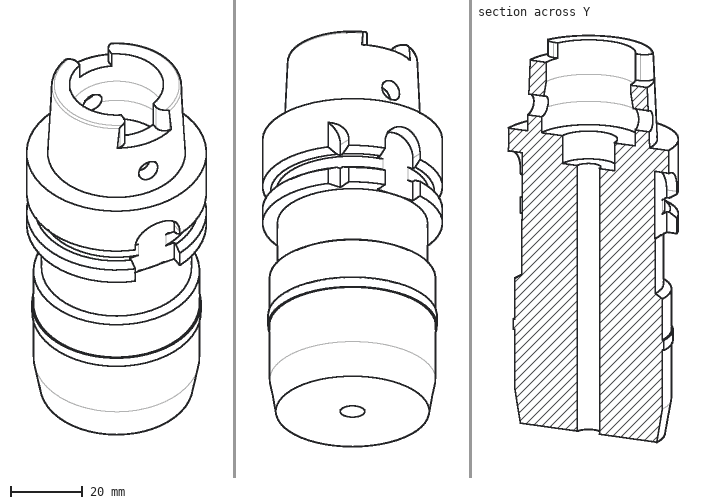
import cadquery as cq
import math

total_height = 110
nose_cone_top = 10.0
ring_bottom = 27.0
ring_top = 29.9
body_edge = 41.8
body_top = 43.1
collar_bottom = 59.0
flange_top = 85.0
groove_bottom = 64.9
groove_top = 69.0
groove_chamfer_height = 1.4

nose_radius = 21.3
body_radius = 23.1
ring_radius = 23.5
neck_radius = 20.9
flange_diameter = 50.0
flange_radius = flange_diameter / 2
groove_radius = 21.2
groove_lip_radius = 22.8
taper_base_radius = 19.1
taper_top_radius = 18.0
rim_fillet = 0.7

mouth_radius = 13.1
mouth_depth = 9.9
recess_radius = 14.5
recess_cone_bottom = 91.8
bore_floor = flange_top
pocket_radius = 8.0
pocket_floor = 77
through_radius = 3.4

drive_half_width = 5.1
drive_corner_radius = 2.8
drive_horn_x = 16.3
drive_depth_left = 4.4
drive_depth_right = 7.6

keyway_floor_x = 20.8
keyway_left_radius = 5.9
keyway_right_radius = 7.0
keyway_top = 78.3
notch_floor_x = 15.8
notch_side_y = 15.2

cross_hole_radius = 3.0
cross_hole_height = 92.6
cut_reach = 33


def make_body():
    profile = (
        cq.Workplane("XZ")
        .lineTo(nose_radius, 0)
        .lineTo(body_radius, nose_cone_top)
        .lineTo(body_radius, ring_bottom)
        .lineTo(ring_radius, ring_bottom)
        .lineTo(ring_radius, ring_top)
        .lineTo(body_radius, ring_top)
        .lineTo(body_radius, body_edge)
        .lineTo(neck_radius, body_top)
        .lineTo(neck_radius, collar_bottom)
        .lineTo(flange_radius, collar_bottom)
        .lineTo(flange_radius, groove_bottom - groove_chamfer_height)
        .lineTo(groove_lip_radius, groove_bottom)
        .lineTo(groove_radius, groove_bottom)
        .lineTo(groove_radius, groove_top)
        .lineTo(groove_lip_radius, groove_top)
        .lineTo(flange_radius, groove_top + groove_chamfer_height)
        .lineTo(flange_radius, flange_top)
        .lineTo(taper_base_radius, flange_top)
        .lineTo(taper_top_radius, total_height)
        .lineTo(0, total_height)
        .close()
    )
    return profile.revolve(360, (0, 0), (0, 1)).faces(">Z").edges().fillet(rim_fillet)


def make_bore():
    mouth_bottom = total_height - mouth_depth
    return (
        cq.Workplane("XZ")
        .lineTo(through_radius, 0)
        .lineTo(through_radius, pocket_floor)
        .lineTo(pocket_radius, pocket_floor)
        .lineTo(pocket_radius, bore_floor)
        .lineTo(recess_radius, bore_floor)
        .lineTo(recess_radius, recess_cone_bottom)
        .lineTo(mouth_radius, mouth_bottom)
        .lineTo(mouth_radius, total_height)
        .lineTo(0, total_height)
        .close()
        .revolve(360, (0, 0), (0, 1))
    )


def make_drive_slot(side, depth):
    """Rim slot on side -1 or +1 of X, with rounded horn corners."""
    corner_x = drive_horn_x - drive_corner_radius
    corner_y = drive_half_width + drive_corner_radius
    arc_x = corner_x + drive_corner_radius * math.sin(math.pi / 4)
    arc_y = corner_y - drive_corner_radius * math.cos(math.pi / 4)
    return (
        cq.Workplane("XY", origin=(0, 0, total_height - depth))
        .moveTo(0, -drive_half_width)
        .lineTo(side * corner_x, -drive_half_width)
        .threePointArc((side * arc_x, -arc_y), (side * drive_horn_x, -corner_y))
        .lineTo(side * drive_horn_x, -cut_reach)
        .lineTo(side * cut_reach, -cut_reach)
        .lineTo(side * cut_reach, cut_reach)
        .lineTo(side * drive_horn_x, cut_reach)
        .lineTo(side * drive_horn_x, corner_y)
        .threePointArc((side * arc_x, arc_y), (side * corner_x, drive_half_width))
        .lineTo(0, drive_half_width)
        .close()
        .extrude(depth)
    )


def make_keyway(side, floor_x, center_y, radius):
    """Round-topped cutter, open at the collar underside, milled along X."""
    spring_height = keyway_top - radius
    return (
        cq.Workplane("YZ", origin=(side * floor_x, 0, 0))
        .moveTo(center_y - radius, collar_bottom)
        .lineTo(center_y - radius, spring_height)
        .threePointArc((center_y, keyway_top), (center_y + radius, spring_height))
        .lineTo(center_y + radius, collar_bottom)
        .close()
        .extrude(side * cut_reach)
    )


cross_hole = (
    cq.Workplane("YZ", origin=(0, 0, cross_hole_height))
    .circle(cross_hole_radius)
    .extrude(cut_reach, both=True)
)
notch_center_y = notch_side_y + keyway_left_radius

result = (
    make_body()
    .cut(make_bore())
    .cut(make_drive_slot(-1, drive_depth_left))
    .cut(make_drive_slot(1, drive_depth_right))
    .cut(make_keyway(-1, keyway_floor_x, 0, keyway_left_radius))
    .cut(make_keyway(1, keyway_floor_x, 0, keyway_right_radius))
    .cut(make_keyway(-1, notch_floor_x, notch_center_y, keyway_left_radius))
    .cut(cross_hole)
)